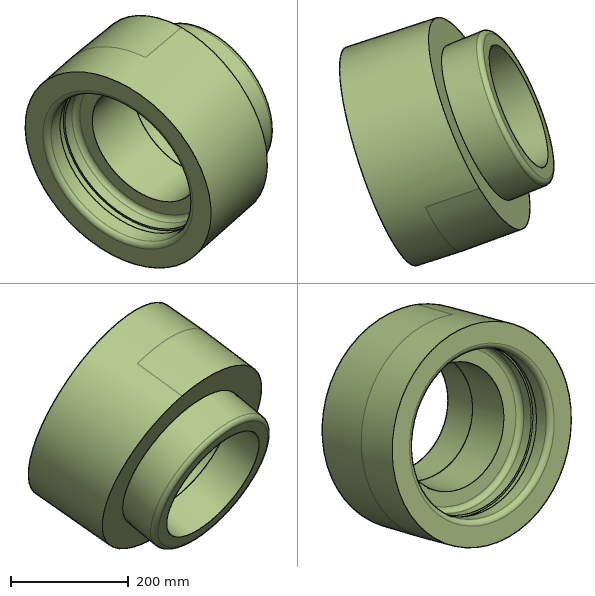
import cadquery as cq
import math

body_radius = 195.5
collar_length = 79.8
end_tilt = 5.0
body_tilt = end_tilt / 2
rear_face_y = 180.0

spigot_radius = 142.5
spigot_length = 75.5
spigot_round = 9.0

socket_radius = 148.0
socket_depth = collar_length
socket_round = 9.8
groove_start = 36.0
groove_end = 50.0
groove_depth = 3.5

bore_radius = 112.2

overlap = 39.0


def tilted_axis(angle):
    """Unit vector along +Y, turned towards +X by the angle in degrees."""
    turn = math.radians(angle)
    return cq.Vector(math.sin(turn), math.cos(turn), 0)


def cylinder(radius, start, axis, length):
    return cq.Workplane(cq.Solid.makeCylinder(radius, length, start, axis))


def revolve_about_y(outline):
    return outline.close().revolve(360, (0, 0, 0), (0, 1, 0))


front_axis = tilted_axis(0)
middle_axis = tilted_axis(body_tilt)
rear_axis = tilted_axis(end_tilt)
front_centre = cq.Vector(0, 0, 0)
collar_end = cq.Vector(0, collar_length, 0)
rear_distance = (cq.Vector(0, rear_face_y, 0) - collar_end).dot(rear_axis) / middle_axis.dot(rear_axis)
rear_centre = collar_end + middle_axis * rear_distance


def space_behind_rear_face():
    return cylinder(2 * body_radius, rear_centre, rear_axis, body_radius)


def make_body():
    """Straight cylinder trimmed by a tilted one, so only the -X side leans in."""
    straight = cylinder(body_radius, front_centre, front_axis, rear_face_y + overlap)
    collar = cylinder(body_radius, front_centre, front_axis, collar_length)
    leaning = cylinder(body_radius, collar_end - middle_axis * overlap, middle_axis, rear_face_y)
    body = collar.union(straight.intersect(leaning))
    return body.cut(space_behind_rear_face())


def make_spigot():
    root = rear_centre - rear_axis * overlap
    plane = cq.Plane(origin=root, xDir=(0, 0, 1), normal=rear_axis)
    spigot = cq.Workplane(plane).circle(spigot_radius).extrude(overlap + spigot_length)
    return spigot.faces(">Y").edges().fillet(spigot_round)


def make_socket():
    """Socket with a flared mouth, a shallow groove and a rounded floor corner."""
    mouth_radius = socket_radius + socket_round
    floor_radius = socket_radius - socket_round
    groove_radius = socket_radius + groove_depth
    outline = (
        cq.Workplane("XY")
        .lineTo(mouth_radius, 0)
        .radiusArc((socket_radius, socket_round), socket_round)
        .lineTo(socket_radius, groove_start)
        .lineTo(groove_radius, groove_start)
        .lineTo(groove_radius, groove_end)
        .lineTo(socket_radius, groove_end)
        .lineTo(socket_radius, socket_depth - socket_round)
        .radiusArc((floor_radius, socket_depth), -socket_round)
        .lineTo(0, socket_depth)
    )
    return revolve_about_y(outline)


def make_bore():
    """Bore that leans with the body, then with the spigot."""
    start = collar_end - middle_axis * overlap
    middle = cylinder(bore_radius, start, middle_axis, rear_distance + 2 * overlap)
    middle = middle.cut(space_behind_rear_face())
    rear = cylinder(bore_radius, rear_centre, rear_axis, spigot_length + overlap)
    return middle.union(rear)


result = make_body().union(make_spigot()).cut(make_socket()).cut(make_bore())